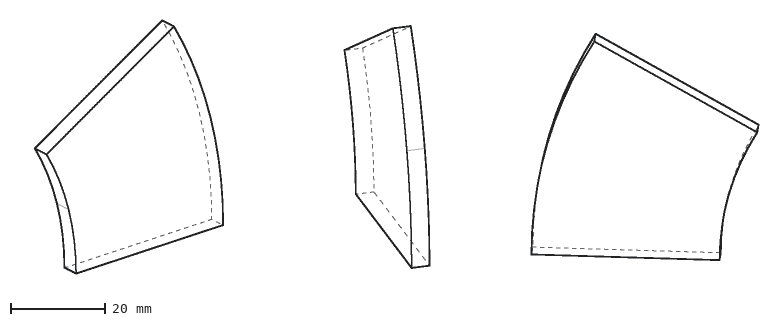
import cadquery as cq
import math

outer_radius = 100.0
ring_width = 40.0
inner_radius = outer_radius - ring_width
sweep_angle = 30.0
thickness = 4.0


def ring_point(radius, fraction):
    """(Y, Z) point on a circle, at a fraction of the sweep up from the Y axis."""
    angle = math.radians(sweep_angle * fraction)
    return (radius * math.cos(angle), radius * math.sin(angle))


profile = (
    cq.Workplane("YZ")
    .moveTo(*ring_point(inner_radius, 0))
    .lineTo(*ring_point(outer_radius, 0))
    .threePointArc(ring_point(outer_radius, 0.25), ring_point(outer_radius, 0.5))
    .threePointArc(ring_point(outer_radius, 0.75), ring_point(outer_radius, 1))
    .lineTo(*ring_point(inner_radius, 1))
    .threePointArc(ring_point(inner_radius, 0.75), ring_point(inner_radius, 0.5))
    .threePointArc(ring_point(inner_radius, 0.25), ring_point(inner_radius, 0))
    .close()
)

result = profile.extrude(thickness, clean=False)